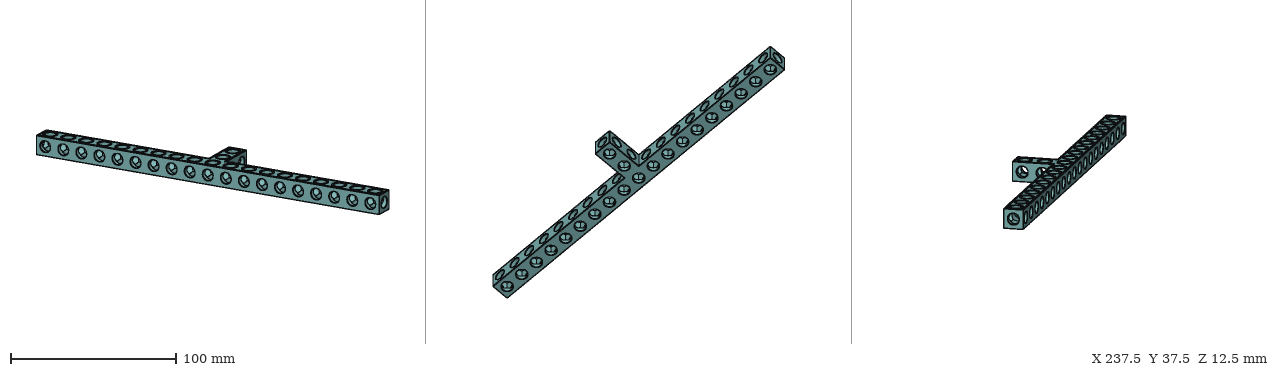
import cadquery as cq

PITCH = 12.5
BAR_CELLS = 19
STEM_CELLS = 2

HOLE_DIAMETER = 7.0
CHAMFER = 0.3

LAND_WIDTH = 1.1
RECESS_DEPTH = 0.2

half_pitch = PITCH / 2
bar_length = BAR_CELLS * PITCH
stem_end_y = half_pitch + STEM_CELLS * PITCH
hole_radius = HOLE_DIAMETER / 2
ring_radius = hole_radius + LAND_WIDTH

bar_xs = [(i - (BAR_CELLS - 1) / 2) * PITCH for i in range(BAR_CELLS)]
row_ys = [j * PITCH for j in range(STEM_CELLS + 1)]
cell_centers = [(x, 0) for x in bar_xs] + [(0, y) for y in row_ys[1:]]


def tee_prism(inset, bottom_z, top_z):
    """T outline, moved inward by inset, extruded between two heights."""
    bar_x = bar_length / 2 - inset
    half_width = half_pitch - inset
    end_y = stem_end_y - inset
    outline = [
        (-bar_x, -half_width),
        (bar_x, -half_width),
        (bar_x, half_width),
        (half_width, half_width),
        (half_width, end_y),
        (-half_width, end_y),
        (-half_width, half_width),
        (-bar_x, half_width),
    ]
    return cq.Workplane("XY", origin=(0, 0, bottom_z)).polyline(outline).close().extrude(top_z - bottom_z)


def make_body():
    """Square-section T with chamfered outer edges; the two inside corners stay sharp."""
    body = tee_prism(0, -half_pitch, half_pitch)
    end_corners = body.edges("|Z and (<X or >X or >Y)")
    return end_corners.chamfer(CHAMFER).faces("<Z or >Z").chamfer(CHAMFER)


def make_recess():
    """Shallow sunk area of the top face, with the hole rings left standing."""
    floor_z = half_pitch - RECESS_DEPTH
    rings = cq.Workplane("XY", origin=(0, 0, floor_z)).pushPoints(cell_centers).circle(ring_radius).extrude(PITCH)
    return tee_prism(LAND_WIDTH, floor_z, half_pitch).cut(rings)


def make_drill(start, direction, length):
    """Through hole from start along direction, flared by a chamfer at both ends."""
    mouth_radius = hole_radius + CHAMFER
    start_point = cq.Vector(*start)
    axis = cq.Vector(*direction)
    end_point = start_point + axis * length
    bore = cq.Solid.makeCylinder(hole_radius, length, start_point, axis)
    entry = cq.Solid.makeCone(mouth_radius, hole_radius, CHAMFER, start_point, axis)
    outlet = cq.Solid.makeCone(mouth_radius, hole_radius, CHAMFER, end_point, axis * -1)
    return [bore, entry, outlet]


def vertical_drills():
    """Holes along Z, one in each cell."""
    drills = []
    for x, y in cell_centers:
        drills += make_drill((x, y, -half_pitch), (0, 0, 1), PITCH)
    return drills


def cross_drills():
    """Holes along Y through the bar; the middle one runs the whole length of the stem."""
    drills = []
    for x in bar_xs:
        end_y = stem_end_y if x == 0 else half_pitch
        drills += make_drill((x, -half_pitch, 0), (0, 1, 0), end_y + half_pitch)
    return drills


def lengthwise_drills():
    """Holes along X: one down the whole bar and one across each stem cell."""
    drills = []
    for y in row_ys:
        length = bar_length if y == 0 else PITCH
        drills += make_drill((-length / 2, y, 0), (1, 0, 0), length)
    return drills


result = make_body().cut(make_recess())
for tool in vertical_drills() + cross_drills() + lengthwise_drills():
    result = result.cut(cq.Workplane(obj=tool))